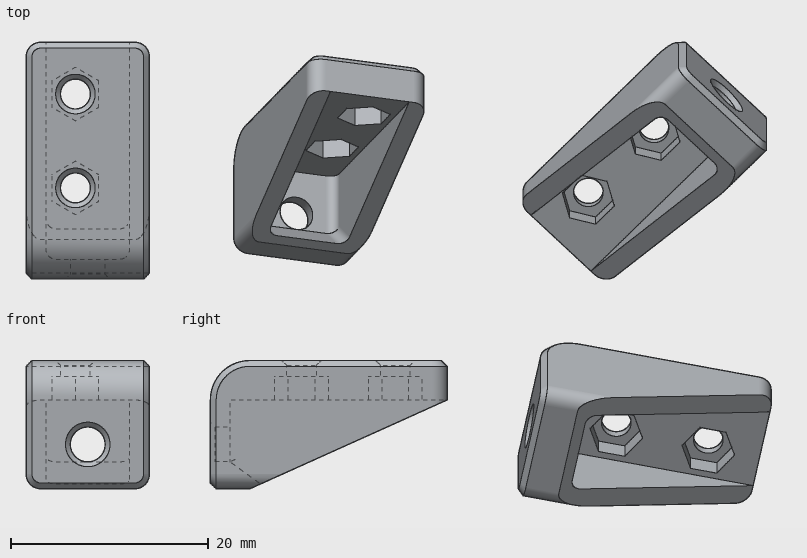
import cadquery as cq

width = 12.5
length = 24.0
height = 13.0

nose_radius = 4.0
corner_radius = 1.5
edge_chamfer = 0.6

foot_length = 4.0
rear_height = 4.0

top_hole_diameter = 3.0
top_hole_x = -1.25
first_top_hole_y = 9.25
top_hole_spacing = 9.5
front_hole_diameter = 3.5
front_hole_z = 4.5
hole_chamfer = 0.5

wall = 2.02
cavity_corner_radius = 1.0
ramp_top_z = 2.74
ramp_foot_y = 5.75
cavity_height = height - rear_height
nut_corner_radius = 2.7
nut_seat_depth = 1.6


def rounded_block():
    """Block with rounded edges and one bevel following the front and top outline."""
    block = cq.Workplane("XY").box(width, length, height, centered=(True, False, False))
    block = block.edges("<Y and >Z").fillet(nose_radius)
    block = block.edges("(>Y and |Z) or (<Z and |Y)").fillet(corner_radius)
    return block.edges(">Y and >Z").chamfer(edge_chamfer)


def underside_wedge():
    """Material below the slope from the foot to the rear face."""
    profile = [(foot_length, 0), (length, 0), (length, height - rear_height)]
    return cq.Workplane("YZ").polyline(profile).close().extrude(width / 2, both=True)


def cavity():
    """Pocket behind the front wall and between the side walls, open through the slope."""
    profile = [
        (wall, cavity_height),
        (wall, ramp_top_z),
        (ramp_foot_y, 0),
        (length, 0),
        (length, cavity_height),
    ]
    pocket = cq.Workplane("YZ").polyline(profile).close().extrude(width - 2 * wall)
    pocket = pocket.translate((wall - width / 2, 0, 0))
    front_zone = cq.selectors.BoxSelector((-width, 0, 0), (width, ramp_foot_y, height))
    front_edges = pocket.edges(front_zone).edges("not |X")
    return front_edges.fillet(cavity_corner_radius)


def nut_recess():
    """Hexagonal cutter with flats facing +X and -X, its top at Z = -nut_seat_depth."""
    hexagon = cq.Workplane("XY").polygon(6, 2 * nut_corner_radius).extrude(-height)
    return hexagon.rotate((0, 0, 0), (0, 0, 1), 30).translate((0, 0, -nut_seat_depth))


def chamfered_hole(diameter, depth):
    """Cutter going down from the origin, with a conical mouth at Z = 0."""
    radius = diameter / 2
    profile = [
        (0, 0),
        (radius + hole_chamfer, 0),
        (radius, -hole_chamfer),
        (radius, -depth),
        (0, -depth),
    ]
    return cq.Workplane("XZ").polyline(profile).close().revolve(360, (0, 0), (0, 1))


result = rounded_block().cut(underside_wedge()).cut(cavity())

for index in range(2):
    hole_y = first_top_hole_y + index * top_hole_spacing
    top_hole = chamfered_hole(top_hole_diameter, height).union(nut_recess())
    result = result.cut(top_hole.translate((top_hole_x, hole_y, height)))

front_hole = chamfered_hole(front_hole_diameter, length)
front_hole = front_hole.rotate((0, 0, 0), (1, 0, 0), 90)
result = result.cut(front_hole.translate((0, 0, front_hole_z)))